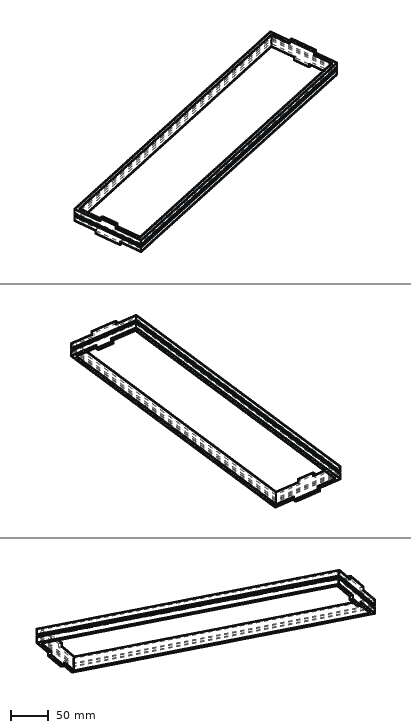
import cadquery as cq

frame_width = 108.0
frame_length = 443.0
overall_height = 30.0
frame_height = 20.0
wall = 5.0

groove_height = 4.0
groove_depth = wall / 2

wide_tab = 40.0
narrow_tab = 25.0


def ring(outer_x, outer_y, inner_x, inner_y, height):
    """Rectangular ring centred on the origin."""
    outer = cq.Workplane("XY").box(outer_x, outer_y, height)
    inner = cq.Workplane("XY").box(inner_x, inner_y, height)
    return outer.cut(inner)


def end_plate(side, upper_width, lower_width):
    """End wall section carrying one tab above and one below the frame."""
    half_height = overall_height / 2
    y_centre = side * (frame_length - wall) / 2
    upper = cq.Workplane("XY").box(upper_width, wall, half_height, centered=(True, True, False))
    lower = (
        cq.Workplane("XY")
        .box(lower_width, wall, half_height, centered=(True, True, False))
        .translate((0, 0, -half_height))
    )
    return upper.union(lower).translate((0, y_centre, 0))


frame = ring(
    frame_width,
    frame_length,
    frame_width - 2 * wall,
    frame_length - 2 * wall,
    frame_height,
)

front_end = end_plate(-1, narrow_tab, wide_tab)
back_end = end_plate(1, wide_tab, narrow_tab)

groove = ring(
    frame_width,
    frame_length,
    frame_width - 2 * groove_depth,
    frame_length - 2 * groove_depth,
    groove_height,
)

result = frame.union(front_end).union(back_end).cut(groove)